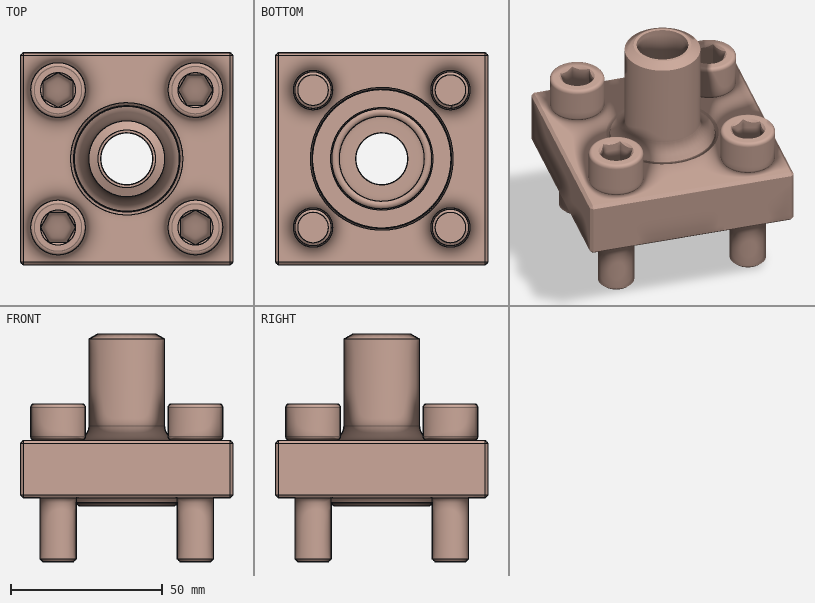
import cadquery as cq
import math

flange_side = 70.0
flange_height = 19.0
flange_chamfer = 1.0
neck_hole_diameter = 35.0
neck_hole_chamfer = 1.0
collar_recess_diameter = 47.0
clearance_diameter = 13.0

pipe_diameter = 25.0
bore_diameter = 17.0
weld_land = 1.0
weld_bevel_angle = 30.0
neck_diameter = 34.5
collar_diameter = 46.0
collar_projection = 1.7
collar_chamfer = 0.2

seal_inner_diameter = 28.0
seal_section = 2.5
seal_projection = 1.0
groove_outer_diameter = 33.75

screw_spacing = 45.2
shank_diameter = 12.0
shank_projection = 21.0
shank_chamfer = 1.0
head_diameter = 18.0
head_height = 12.0
head_edge_radius = 1.2
socket_width = 10.0
socket_depth = 8.0
socket_turn = 30.0

overall_height = 75.0
pipe_top = overall_height - shank_projection
collar_top = flange_height / 2
collar_bottom = -collar_projection
head_top = flange_height + head_height

screw_places = [
    (sx * screw_spacing / 2, sy * screw_spacing / 2, 0 if sx == sy else socket_turn)
    for sx in (-1, 1)
    for sy in (-1, 1)
]


def cylinder(diameter, bottom, top):
    """Upright cylinder on the Z axis."""
    return cq.Workplane("XY").workplane(offset=bottom).circle(diameter / 2).extrude(top - bottom)


def revolve_about_z(profile):
    """Turn a closed profile, drawn as radius and height, about the Z axis."""
    return profile.revolve(360, (0, 0, 0), (0, 1, 0))


def make_flange():
    block = cq.Workplane("XY").box(flange_side, flange_side, flange_height, centered=(True, True, False))
    block = block.edges().chamfer(flange_chamfer)

    block = block.cut(cylinder(neck_hole_diameter, 0, flange_height))
    block = block.faces(">Z").edges("%CIRCLE").chamfer(neck_hole_chamfer)
    block = block.cut(cylinder(collar_recess_diameter, 0, collar_top))

    for x, y, _ in screw_places:
        block = block.cut(cylinder(clearance_diameter, 0, flange_height).translate((x, y, 0)))
    return block


def make_nipple():
    pipe_radius = pipe_diameter / 2
    bore_radius = bore_diameter / 2
    neck_radius = neck_diameter / 2
    collar_radius = collar_diameter / 2
    land_radius = bore_radius + weld_land
    bevel_height = (pipe_radius - land_radius) * math.tan(math.radians(weld_bevel_angle))

    fillet_radius = neck_radius - pipe_radius
    fillet_mid_offset = fillet_radius * (1 - math.sqrt(0.5))
    fillet_mid = (pipe_radius + fillet_mid_offset, flange_height + fillet_mid_offset)

    profile = (
        cq.Workplane("XZ")
        .moveTo(bore_radius, collar_bottom)
        .lineTo(collar_radius - collar_chamfer, collar_bottom)
        .lineTo(collar_radius, collar_bottom + collar_chamfer)
        .lineTo(collar_radius, collar_top)
        .lineTo(neck_radius, collar_top)
        .lineTo(neck_radius, flange_height)
        .threePointArc(fillet_mid, (pipe_radius, flange_height + fillet_radius))
        .lineTo(pipe_radius, pipe_top - bevel_height)
        .lineTo(land_radius, pipe_top)
        .lineTo(bore_radius, pipe_top)
        .close()
    )

    groove_top = collar_bottom + seal_section - seal_projection
    groove = cylinder(groove_outer_diameter, collar_bottom, groove_top).cut(
        cylinder(seal_inner_diameter, collar_bottom, groove_top)
    )
    return revolve_about_z(profile).cut(groove)


def make_seal():
    centre_radius = (seal_inner_diameter + seal_section) / 2
    centre_height = collar_bottom - seal_projection + seal_section / 2
    return revolve_about_z(
        cq.Workplane("XZ").moveTo(centre_radius, centre_height).circle(seal_section / 2)
    )


def make_socket():
    """Hexagonal socket with a 45 degree countersink that meets the hexagon corners."""
    corner_diameter = socket_width / math.cos(math.radians(30))
    corner_radius = corner_diameter / 2
    hexagon = (
        cq.Workplane("XY")
        .workplane(offset=head_top - socket_depth)
        .polygon(6, corner_diameter)
        .extrude(socket_depth)
    )
    countersink = revolve_about_z(
        cq.Workplane("XZ")
        .moveTo(0, head_top)
        .lineTo(corner_radius, head_top)
        .lineTo(0, head_top - corner_radius)
        .close()
    )
    return hexagon.union(countersink)


def make_screw(x, y, turn):
    head = cylinder(head_diameter, flange_height, head_top).edges().fillet(head_edge_radius)
    shank = cylinder(shank_diameter, -shank_projection, flange_height)
    shank = shank.faces("<Z").chamfer(shank_chamfer)
    screw = head.union(shank).cut(make_socket())
    return screw.rotate((0, 0, 0), (0, 0, 1), turn).translate((x, y, 0))


flange = make_flange()
nipple = make_nipple()
seal = make_seal()
screws = [make_screw(*place) for place in screw_places]

result = cq.Compound.makeCompound(
    [flange.val(), nipple.val(), seal.val(), *[screw.val() for screw in screws]]
)